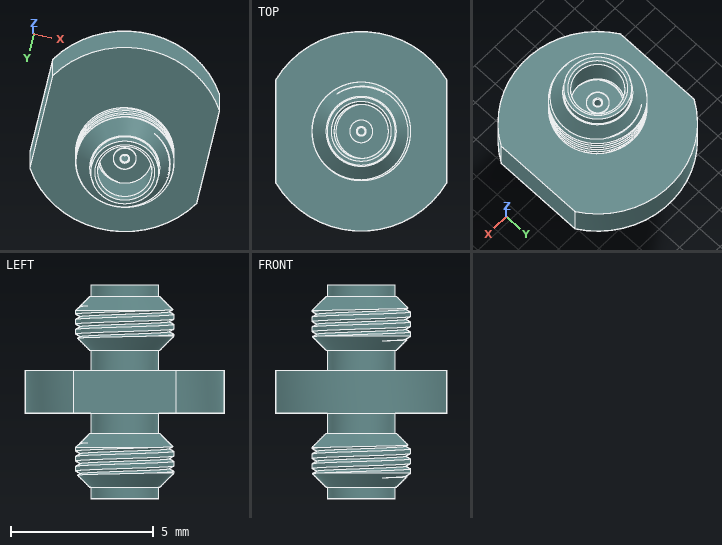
import cadquery as cq
import math

flange_diameter = 7.0
flange_across_flats = 6.0
flange_thickness = 1.5

overall_length = 7.5
neck_radius = 1.19
end_neck_length = 0.4
collar_length = 1.9
collar_radius = 1.73
collar_chamfer = 0.5
half_length = overall_length / 2
collar_top = half_length - end_neck_length
collar_bottom = collar_top - collar_length
collar_spacing = collar_top + collar_bottom

thread_pitch = 0.35
thread_turns = 5
groove_start_z = 1.495
groove_width = 0.19
groove_angle = 60.0
groove_overshoot = 0.08
groove_slope = math.tan(math.radians(groove_angle / 2))
groove_depth = groove_width / 2 / groove_slope

bore_radius = 0.95
bore_depth = 1.35
mouth_chamfer = 0.1
bead_offset = 0.07
bead_height = 0.05
contact_radius = 0.4
contact_height = 0.1
pin_hole_radius = 0.135
pin_hole_depth = 0.6
pin_hole_chamfer = 0.035


def cylinder(radius, bottom, height, center_x=0.0):
    """Upright cylinder standing on the level `bottom`."""
    return cq.Workplane("XY", origin=(center_x, 0, bottom)).circle(radius).extrude(height)


def countersink(radius, chamfer, top):
    """45 degree cone that widens a hole of the given radius at the level `top`."""
    outline = [
        (0, top - chamfer),
        (radius, top - chamfer),
        (radius + chamfer, top),
        (0, top),
    ]
    return cq.Workplane("XZ").polyline(outline).close().revolve(360, (0, 0, 0), (0, 1, 0))


def make_flange():
    disc = cylinder(flange_diameter / 2, -flange_thickness / 2, flange_thickness)
    flats = cq.Workplane("XY").box(flange_across_flats, flange_diameter, flange_thickness)
    return disc.intersect(flats)


def make_thread_groove():
    """V groove swept along a helix; it runs out through both collar chamfers."""
    root_radius = collar_radius - groove_depth
    reach = groove_depth + groove_overshoot
    half_width = reach * groove_slope
    helix = cq.Wire.makeHelix(thread_pitch, thread_turns * thread_pitch, root_radius)
    profile = [
        (root_radius, 0),
        (root_radius + reach, -half_width),
        (root_radius + reach, half_width),
    ]
    groove = cq.Workplane("XZ").polyline(profile).close().sweep(cq.Workplane(helix), isFrenet=True)
    return groove.translate((0, 0, groove_start_z))


def make_collar():
    """Threaded collar of the upper barrel, chamfered at both ends."""
    blank = cylinder(collar_radius, collar_bottom, collar_length)
    envelope = blank.faces("<Z or >Z").edges().chamfer(collar_chamfer)
    return blank.cut(make_thread_groove()).intersect(envelope)


def make_socket():
    """Cavity of the upper socket, leaving the bead and contact at its floor."""
    floor = half_length - bore_depth
    contact_top = floor + contact_height
    bead = cylinder(bore_radius, floor, bead_height, bead_offset)
    contact = cylinder(contact_radius, floor, contact_height)
    pin_hole = cylinder(pin_hole_radius, contact_top - pin_hole_depth, pin_hole_depth)
    pin_hole = pin_hole.union(countersink(pin_hole_radius, pin_hole_chamfer, contact_top))
    bore = cylinder(bore_radius, floor, bore_depth)
    bore = bore.union(countersink(bore_radius, mouth_chamfer, half_length))
    return bore.cut(bead).cut(contact).union(pin_hole)


collar = make_collar()
socket = make_socket()

result = cylinder(neck_radius, -half_length, overall_length)
result = result.union(make_flange())
result = result.union(collar).union(collar.translate((0, 0, -collar_spacing)))
result = result.cut(socket).cut(socket.mirror("XY"))